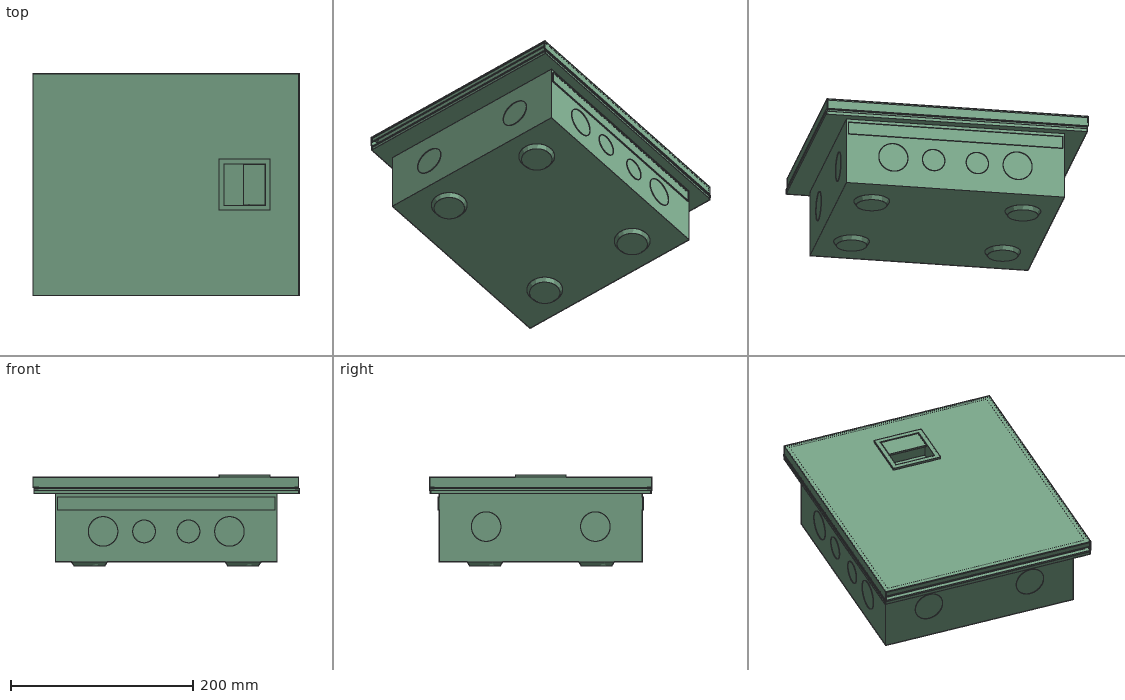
import cadquery as cq
import math

FOOT_HEIGHT = 4.7
FLANGE_BOTTOM = 79.7
FLANGE_PLATE_BOTTOM = 83.2
FLANGE_TOP = 85.1
DOOR_BOTTOM = 86.6
HINGE_WALL_BOTTOM = 90.8
DOOR_TOP = 97.9
LATCH_TOP = 100.2

SHEET = 1.2
SHEET_STEP = 0.1

BODY_LENGTH = 243.6
BODY_WIDTH = 223.0

FLANGE_LENGTH = 292.0
FLANGE_WIDTH = 244.0
FLANGE_CENTER_X = 0.6
DOOR_CENTER_X = -FLANGE_CENTER_X
NECK_INSET = 5.0

STRIP_LENGTH = 239.0
STRIP_BOTTOM = 62.0
STRIP_TOP = 75.8
STRIP_THICKNESS = 1.2

SIDE_KNOCKOUT_Z = 38.2
END_KNOCKOUT_Z = 43.5
KNOCKOUT_DEPTH = 0.6
LARGE_KNOCKOUT_DIAMETER = 32.5
SMALL_KNOCKOUT_DIAMETER = 25.0
LARGE_KNOCKOUT_X = 69.4
SMALL_KNOCKOUT_X = 24.4
END_KNOCKOUT_Y = 60.0

FOOT_TOP_DIAMETER = 39.4
FOOT_BOTTOM_DIAMETER = 33.4
FOOT_X = 84.4
FOOT_Y = 61.3

LATCH_X = 86.1
LATCH_SIZE = 56.0
LATCH_OPENING = 45.6
WELL_FLOOR = 81.8
WELL_RADIUS = 20.0
CHUTE_ANGLE = math.radians(45)
PADDLE_LENGTH = 23.4
PADDLE_GAP = 0.6
PADDLE_DROP = 0.5
PADDLE_THICKNESS = 2.0
PADDLE_OVERHANG = 6.0


def block(x_range, y_range, z_range):
    """Box spanning the given (low, high) ranges."""
    sizes = [high - low for low, high in (x_range, y_range, z_range)]
    corner = (x_range[0], y_range[0], z_range[0])
    return cq.Workplane("XY").box(*sizes, centered=False).translate(corner)


def span(size, center=0.0):
    """(low, high) range of the given size about a centre."""
    return (center - size / 2, center + size / 2)


def make_body():
    body = block(span(BODY_LENGTH), span(BODY_WIDTH), (FOOT_HEIGHT, FLANGE_BOTTOM))
    strips = block(
        span(STRIP_LENGTH),
        span(BODY_WIDTH + 2 * STRIP_THICKNESS),
        (STRIP_BOTTOM, STRIP_TOP),
    )
    return body.union(strips)


def make_feet():
    taper = math.degrees(math.atan((FOOT_TOP_DIAMETER - FOOT_BOTTOM_DIAMETER) / 2 / FOOT_HEIGHT))
    return (
        cq.Workplane("XY")
        .rect(2 * FOOT_X, 2 * FOOT_Y, forConstruction=True)
        .vertices()
        .circle(FOOT_BOTTOM_DIAMETER / 2)
        .extrude(FOOT_HEIGHT, taper=-taper)
    )


def make_flange():
    """Flat plate with turned-down lips that leave small notches at the corners."""
    x_low, x_high = span(FLANGE_LENGTH, FLANGE_CENTER_X)
    lip_z = (FLANGE_BOTTOM, FLANGE_PLATE_BOTTOM)
    plate = block((x_low, x_high), span(FLANGE_WIDTH), (FLANGE_PLATE_BOTTOM, FLANGE_TOP))
    end_lips = block(
        (x_low + SHEET_STEP, x_high - SHEET_STEP),
        span(FLANGE_WIDTH - 2 * SHEET),
        lip_z,
    )
    side_lips = block(
        (x_low + 2 * SHEET_STEP, x_high - SHEET),
        span(FLANGE_WIDTH - 2 * SHEET_STEP),
        lip_z,
    )
    return plate.union(end_lips).union(side_lips)


def make_neck():
    """Raised mouth of the box that carries the door clear of the flange."""
    return block(
        span(FLANGE_LENGTH - 2 * NECK_INSET, FLANGE_CENTER_X),
        span(FLANGE_WIDTH - 2 * NECK_INSET),
        (FLANGE_TOP, DOOR_TOP - SHEET),
    )


def make_door():
    """Sheet pan open at the bottom, with a shorter wall at the -X hinge end."""
    x_low, x_high = span(FLANGE_LENGTH, DOOR_CENTER_X)
    inner_y = span(FLANGE_WIDTH - 2 * SHEET)
    pan = block((x_low, x_high), span(FLANGE_WIDTH), (DOOR_BOTTOM, DOOR_TOP))
    cavity = block((x_low + SHEET, x_high - SHEET), inner_y, (DOOR_BOTTOM, DOOR_TOP - SHEET))
    hinge_opening = block((x_low, x_low + SHEET), inner_y, (DOOR_BOTTOM, HINGE_WALL_BOTTOM))
    hinge_face = block(
        (x_low, x_low + SHEET_STEP),
        inner_y,
        (HINGE_WALL_BOTTOM, DOOR_TOP - SHEET),
    )
    return pan.cut(cavity).cut(hinge_opening).cut(hinge_face)


def cut_knockouts(part):
    """Shallow round recesses on both long sides and both ends."""
    side_y = BODY_WIDTH / 2
    end_x = BODY_LENGTH / 2
    for sign in (-1, 1):
        for x, diameter in (
            (LARGE_KNOCKOUT_X, LARGE_KNOCKOUT_DIAMETER),
            (SMALL_KNOCKOUT_X, SMALL_KNOCKOUT_DIAMETER),
        ):
            side = (
                cq.Workplane("XZ", origin=(0, sign * side_y, SIDE_KNOCKOUT_Z))
                .pushPoints([(-x, 0), (x, 0)])
                .circle(diameter / 2)
                .extrude(sign * KNOCKOUT_DEPTH)
            )
            part = part.cut(side)
        end = (
            cq.Workplane("YZ", origin=(sign * end_x, 0, END_KNOCKOUT_Z))
            .pushPoints([(-END_KNOCKOUT_Y, 0), (END_KNOCKOUT_Y, 0)])
            .circle(LARGE_KNOCKOUT_DIAMETER / 2)
            .extrude(-sign * KNOCKOUT_DEPTH)
        )
        part = part.cut(end)
    return part


def make_latch_frame():
    return block(span(LATCH_SIZE, LATCH_X), span(LATCH_SIZE), (DOOR_TOP, LATCH_TOP))


def make_finger_well():
    """Cutter: 45 degree chute running tangent into a round floor, undercutting the paddle."""
    x_low, x_high = span(LATCH_OPENING, LATCH_X)
    paddle_x = x_high - PADDLE_GAP - PADDLE_LENGTH
    wall_x = paddle_x + PADDLE_OVERHANG
    paddle_bottom = LATCH_TOP - PADDLE_DROP - PADDLE_THICKNESS
    center_z = WELL_FLOOR + WELL_RADIUS

    tangent_z = center_z - WELL_RADIUS * math.cos(CHUTE_ANGLE)
    tangent_x = x_low + (LATCH_TOP - tangent_z) / math.tan(CHUTE_ANGLE)
    arc_center_x = tangent_x + WELL_RADIUS * math.sin(CHUTE_ANGLE)
    arc_middle = (
        arc_center_x - WELL_RADIUS * math.sin(CHUTE_ANGLE / 2),
        center_z - WELL_RADIUS * math.cos(CHUTE_ANGLE / 2),
    )
    profile = (
        cq.Workplane("XZ", origin=(0, LATCH_OPENING / 2, 0))
        .moveTo(x_low, LATCH_TOP)
        .lineTo(tangent_x, tangent_z)
        .threePointArc(arc_middle, (arc_center_x, WELL_FLOOR))
        .lineTo(wall_x, WELL_FLOOR)
        .lineTo(wall_x, paddle_bottom)
        .lineTo(paddle_x, paddle_bottom)
        .lineTo(paddle_x, LATCH_TOP)
        .close()
    )
    return profile.extrude(LATCH_OPENING)


def make_paddle_clearance():
    """Cutter: drop above the paddle and the narrow gap around its three fixed sides."""
    x_high = LATCH_X + LATCH_OPENING / 2
    paddle_x = (x_high - PADDLE_GAP - PADDLE_LENGTH, x_high - PADDLE_GAP)
    top = LATCH_TOP - PADDLE_DROP
    bottom = top - PADDLE_THICKNESS
    opening = block((paddle_x[0], x_high), span(LATCH_OPENING), (bottom, LATCH_TOP))
    paddle = block(paddle_x, span(LATCH_OPENING - 2 * PADDLE_GAP), (bottom, top))
    return opening.cut(paddle)


result = make_body().union(make_feet()).union(make_flange()).union(make_neck()).union(make_door())
result = cut_knockouts(result)
result = result.union(make_latch_frame()).cut(make_finger_well()).cut(make_paddle_clearance())